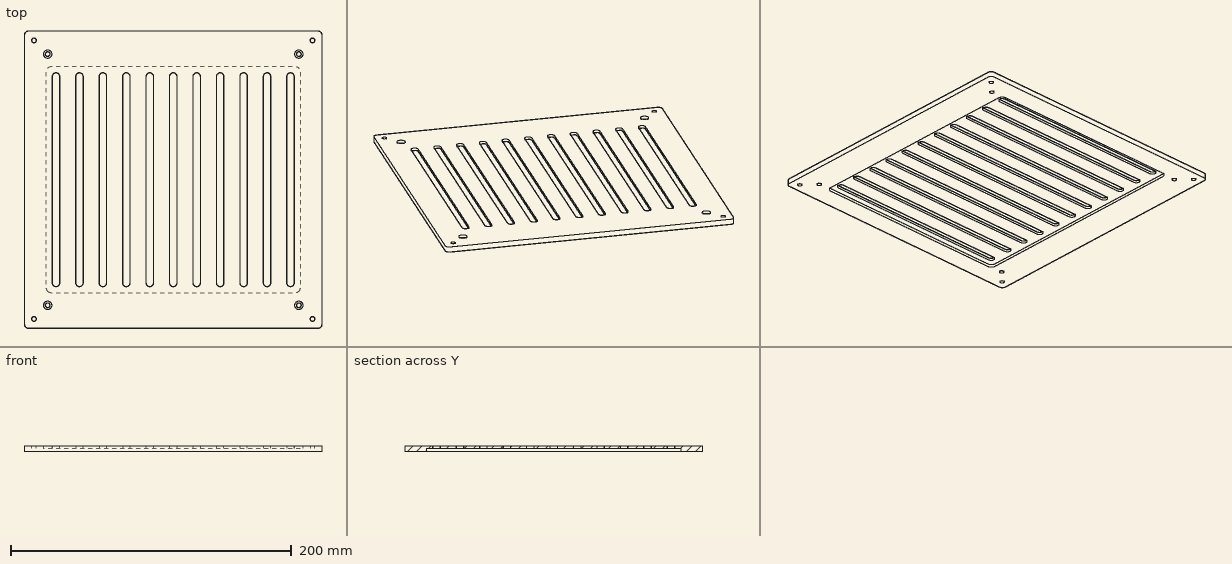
import cadquery as cq

side = 212.0
thickness = 4.0
corner_radius = 3.0

slot_count = 11
slot_row_span = 167.0
slot_pitch = slot_row_span / (slot_count - 1)
slot_width = 5.0
slot_length = 152.2

recess_margin = 4.5
recess_size_x = slot_row_span + slot_width + 2 * recess_margin
recess_size_y = slot_length + 2 * recess_margin
recess_depth = 2.1
recess_corner_diameter = 7.2

corner_hole_diameter = 3.2
corner_hole_spacing = 198.5

screw_hole_diameter = 3.2
screw_head_diameter = 6.0
screw_head_depth = thickness / 2
screw_hole_spacing = 179.0


def on_square(body, spacing):
    """Place points at the four corners of a centred square on the top face."""
    top = body.faces(">Z").workplane(origin=(0, 0, 0))
    return top.rect(spacing, spacing, forConstruction=True).vertices()


plate = (
    cq.Workplane("XY")
    .box(side, side, thickness, centered=(True, True, False))
    .edges("|Z")
    .fillet(corner_radius)
)

recess = (
    cq.Workplane("XY")
    .rect(recess_size_x, recess_size_y)
    .extrude(recess_depth)
    .edges("|Z")
    .fillet(recess_corner_diameter / 2)
)
plate = plate.cut(recess)

slots = (
    cq.Workplane("XY")
    .rarray(slot_pitch, 2.1, slot_count, 1)
    .slot2D(slot_length, slot_width, 90)
    .extrude(thickness)
)
plate = plate.cut(slots)

plate = on_square(plate, corner_hole_spacing).hole(corner_hole_diameter)
plate = on_square(plate, screw_hole_spacing).cboreHole(
    screw_hole_diameter, screw_head_diameter, screw_head_depth
)

result = plate